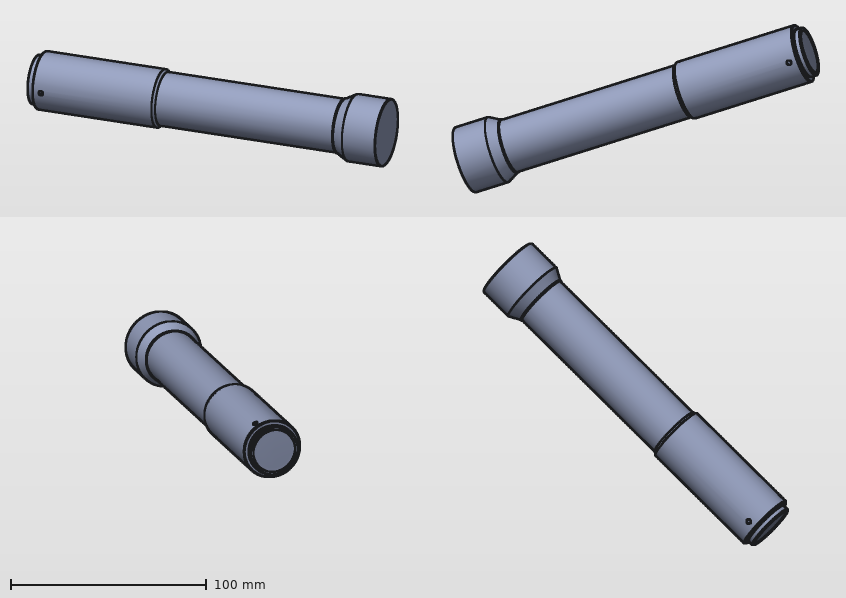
import cadquery as cq

total_length = 190.86
cap_length = 3.1
sleeve_start_x = 3.55
sleeve_end_x = 70.0
head_collar_x = 166.3
head_cone_start_x = 166.9
head_cone_end_x = 172.8

cap_radius = 12.9
neck_radius = 12.7
sleeve_radius = 15.2
tube_radius = 14.0
head_radius = 17.5
cone_start_radius = 14.3

cap_chamfer = 0.4
sleeve_front_chamfer = 0.4
sleeve_rear_chamfer_length = 1.6
head_chamfer = 0.3

lens_bore_radius = 11.2
lens_bore_depth = 0.3
lens_radius = 9.5
lens_bulge = 0.2
lens_sphere_radius = (lens_radius**2 + lens_bulge**2) / (2 * lens_bulge)

screw_hole_count = 3
screw_hole_radius = 1.2
screw_hole_x = 8.3
screw_hole_depth = 1.0


def turned_body():
    """Revolve the stepped outer profile about the X axis."""
    profile = (
        cq.Workplane("XY")
        .moveTo(0, 0)
        .lineTo(0, cap_radius - cap_chamfer)
        .lineTo(cap_chamfer, cap_radius)
        .lineTo(cap_length, cap_radius)
        .lineTo(cap_length, neck_radius)
        .lineTo(sleeve_start_x, neck_radius)
        .lineTo(sleeve_start_x, sleeve_radius - sleeve_front_chamfer)
        .lineTo(sleeve_start_x + sleeve_front_chamfer, sleeve_radius)
        .lineTo(sleeve_end_x - sleeve_rear_chamfer_length, sleeve_radius)
        .lineTo(sleeve_end_x, tube_radius)
        .lineTo(head_collar_x, tube_radius)
        .lineTo(head_collar_x, cone_start_radius)
        .lineTo(head_cone_start_x, cone_start_radius)
        .lineTo(head_cone_end_x, head_radius)
        .lineTo(total_length - head_chamfer, head_radius)
        .lineTo(total_length, head_radius - head_chamfer)
        .lineTo(total_length, 0)
        .close()
    )
    return profile.revolve(360, (0, 0, 0), (1, 0, 0))


def lens_bore():
    """Shallow bore in the cap face, with the domed lens left standing in it."""
    profile = (
        cq.Workplane("XY")
        .moveTo(0, 0)
        .lineTo(0, lens_bore_radius)
        .lineTo(lens_bore_depth, lens_bore_radius)
        .lineTo(lens_bore_depth, lens_radius)
        .radiusArc((lens_bore_depth - lens_bulge, 0), -lens_sphere_radius)
        .close()
    )
    return profile.revolve(360, (0, 0, 0), (1, 0, 0))


def screw_hole(angle):
    """Blind radial hole; the angle turns it about X from the -Y direction."""
    hole = (
        cq.Workplane("XZ", origin=(screw_hole_x, 0, 0))
        .workplane(offset=sleeve_radius - screw_hole_depth)
        .circle(screw_hole_radius)
        .extrude(2 * screw_hole_depth)
    )
    return hole.rotate((0, 0, 0), (1, 0, 0), angle)


result = turned_body().cut(lens_bore())
for index in range(screw_hole_count):
    result = result.cut(screw_hole(index * 360 / screw_hole_count))